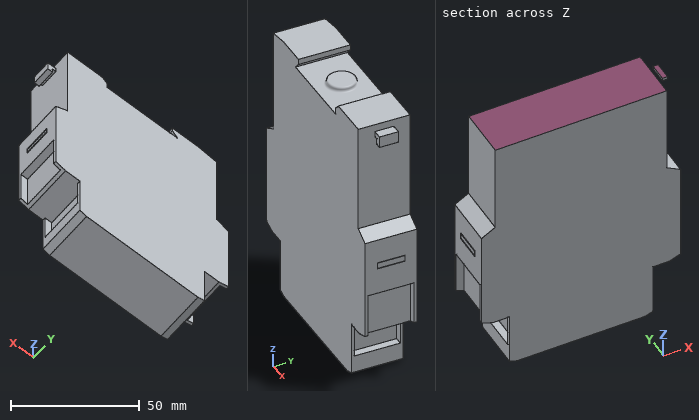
import cadquery as cq

height = 120.6
thickness = 22.5

base_half = 31.5
middle_half = 43.7
upper_half = 37.6
base_chamfer_width = 3.4
base_chamfer_height = 1.2
step_z = 24.4
step_chamfer_width = 5.0
step_chamfer_height = 1.8
shoulder_low_z = 70.2
shoulder_high_z = 73.6
top_slope_width = 9.4
top_slope_drop = 1.6

recess_floor_z = 115.3
recess_lip_z = 118.2
hook_lip_x = -15.2
hook_root_x = -17.8
recess_right_x = 17.6
recess_chamfer = height - recess_lip_z

button_radius = 6
button_flare_radius = 1.2
button_edge_radius = 1.0

latch_width = 8.2
latch_top_z = 117.3
latch_arm_thickness = 2.4
latch_bottom_z = 112.4
latch_tip_x = 41.7
latch_leg_thickness = 2.4

tab_width = 11.8
tab_bottom_z = 56.8
tab_top_z = 59.5
tab_projection = 0.2

pocket_width = 19.9
pocket_depth = 3.4
pocket_bottom_z = 8.9
pocket_top_z = 45.1


def extrude_outline(points, width):
    """Extrude an XZ outline symmetrically about the Y = 0 plane."""
    return cq.Workplane("XZ").polyline(points).close().extrude(width / 2, both=True)


def side_block(x_inner, x_outer, width, z_bottom, z_top):
    """Matching blocks on the +X and -X sides, centred on Y = 0."""
    block = (
        cq.Workplane("XY")
        .box(x_outer - x_inner, width, z_top - z_bottom, centered=(False, True, False))
        .translate((x_inner, 0, z_bottom))
    )
    return block.union(block.mirror("YZ"))


def housing():
    right_side = [
        (base_half - base_chamfer_width, 0),
        (base_half, base_chamfer_height),
        (base_half, step_z),
        (middle_half - step_chamfer_width, step_z),
        (middle_half, step_z + step_chamfer_height),
        (middle_half, shoulder_low_z),
        (upper_half, shoulder_high_z),
    ]
    left_side = [(-x, z) for x, z in reversed(right_side)]
    top = [
        (upper_half, height),
        (recess_right_x + recess_chamfer, height),
        (recess_right_x, recess_lip_z),
        (recess_right_x, recess_floor_z),
        (hook_root_x, recess_floor_z),
        (hook_lip_x, recess_lip_z),
        (hook_lip_x, height),
        (top_slope_width - upper_half, height),
        (-upper_half, height - top_slope_drop),
    ]
    return extrude_outline(right_side + top + left_side, thickness)


def button():
    flare_top_z = recess_floor_z + button_flare_radius
    top_z = flare_top_z + button_edge_radius
    profile = (
        cq.Workplane("XZ")
        .moveTo(0, recess_floor_z)
        .lineTo(button_radius + button_flare_radius, recess_floor_z)
        .radiusArc((button_radius, flare_top_z), button_flare_radius)
        .radiusArc((button_radius - button_edge_radius, top_z), -button_edge_radius)
        .lineTo(0, top_z)
        .close()
    )
    return profile.revolve(360, (0, 0), (0, 1))


def latch():
    arm_bottom_z = latch_top_z - latch_arm_thickness
    leg_x = latch_tip_x - latch_leg_thickness
    outline = [
        (upper_half, latch_top_z),
        (latch_tip_x, latch_top_z),
        (latch_tip_x, latch_bottom_z),
        (leg_x, latch_bottom_z),
        (leg_x, arm_bottom_z),
        (upper_half, arm_bottom_z),
    ]
    return extrude_outline(outline, latch_width)


def tabs():
    return side_block(middle_half, middle_half + tab_projection, tab_width, tab_bottom_z, tab_top_z)


def terminal_pockets():
    upper = side_block(middle_half - pocket_depth, middle_half, pocket_width, step_z, pocket_top_z)
    lower = side_block(base_half - pocket_depth, base_half, pocket_width, pocket_bottom_z, step_z)
    return upper.union(lower)


result = housing().cut(terminal_pockets()).union(button()).union(latch()).union(tabs())